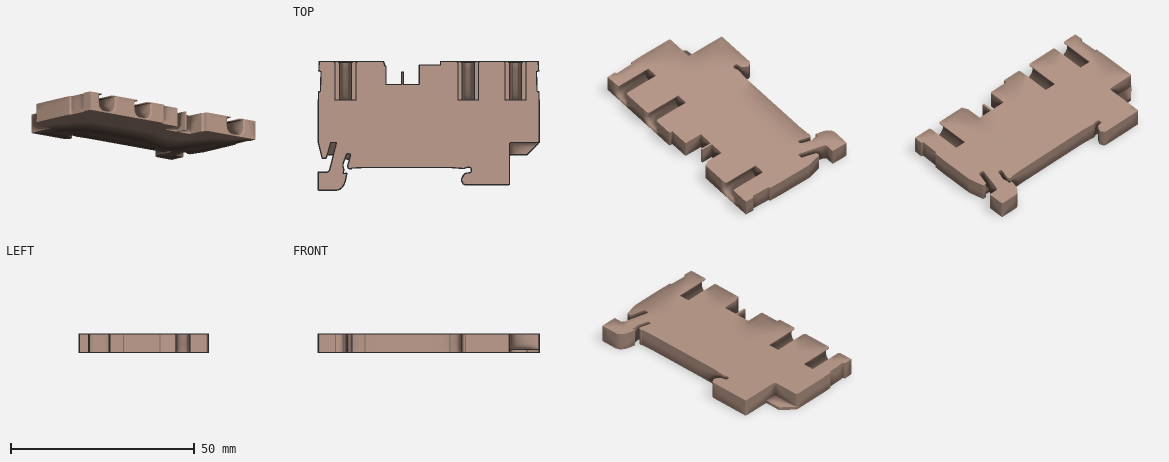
import cadquery as cq
import math

LENGTH = 60.35
HEIGHT = 35.2
THICKNESS = 5.1
SPAN = 3 * LENGTH

RAIL_SEAT = 6.2
SEAT_LIP = 5.85
FOOT_BOTTOM = 1.5
SHOULDER = 13.1
HOOK_TOP = 4.95
SKIRT_BOTTOM = 8.75

BEAD_BOTTOM = 32.6
WAIST_TOP = 32.35
WAIST_BOTTOM = 27.05
SIDE_TOP = 26.8
TAPER_START = 23.2
SIDE_TAPER = 0.1
TOP_INSET = 0.3
BEAD_INSET = 0.2
WAIST_TOP_INSET = 0.8
WAIST_BOTTOM_INSET = 0.6

WINDOW_LEFT = 18.6
WINDOW_RIGHT = 27.5
WINDOW_FLOOR = 28.9
STEP_X = 33.3
STEP_HEIGHT = 34.2
BLADE_LEFT = 22.75
BLADE_WIDTH = 0.55
BLADE_TOP = 32.2

WIRE_ENTRIES = [(7.5, 3.25, 1.8), (40.9, 3.4, 1.6), (53.85, 3.4, 1.6)]
ENTRY_ROUND = 2.0
ENTRY_FLOOR = 0.5
ENTRY_END = 24.6
LIP_THICKNESS = 0.25
MOUTH_FLARE = 0.35
FLARE_ANGLE = 45

FOOT_RIGHT = 52.2
SEAT_RECESS_END = 41.7

WEB_THICKNESS = 0.9
WEB_BOTTOM = 9.65
WEDGE_TIP = 57.0
WEB_OVERLAP = 0.6
SLOT_WEB_LEFT = 2.55
WEB_STEP_X = 6.35
SLOT_WEB_BOTTOM = 8.4
SLOT_WEB_RIGHT = 9.05

SMALL_ROUND = 0.3


def rounded_outline(corners):
    """Closed outline with the given (x, y, radius) corners; a radius of 0 keeps the corner sharp."""
    count = len(corners)
    wire = None
    for i, (x, y, radius) in enumerate(corners):
        before = cq.Vector(*corners[i - 1][:2])
        after = cq.Vector(*corners[(i + 1) % count][:2])
        corner = cq.Vector(x, y)
        to_before = (before - corner).normalized()
        to_after = (after - corner).normalized()
        half_angle = to_before.getAngle(to_after) / 2
        setback = radius / math.tan(half_angle)
        start = corner + to_before * setback
        if wire is None:
            wire = cq.Workplane("XY").moveTo(start.x, start.y)
        else:
            wire = wire.lineTo(start.x, start.y)
        if radius > 0:
            bisector = (to_before + to_after).normalized()
            middle = corner + bisector * (radius / math.sin(half_angle) - radius)
            end = corner + to_after * setback
            wire = wire.threePointArc((middle.x, middle.y), (end.x, end.y))
    return wire.close()


def end_profile():
    """(inset, height) pairs of the latch bead and waist, from the top down."""
    return [
        (TOP_INSET, HEIGHT),
        (BEAD_INSET, BEAD_BOTTOM),
        (WAIST_TOP_INSET, WAIST_TOP),
        (WAIST_BOTTOM_INSET, WAIST_BOTTOM),
    ]


def body():
    """Full-thickness housing, outlined counterclockwise from its top left corner."""
    left_end = [(inset, y, 0) for inset, y in end_profile()]
    right_end = [(LENGTH - inset, y, 0) for inset, y in reversed(end_profile())]

    left_leg = [
        (SIDE_TAPER, SIDE_TOP, 0),
        (0, TAPER_START, 0),
        (0, 13.2, 0),
        (1.1, SKIRT_BOTTOM, 0.25),
        (2.25, SKIRT_BOTTOM, SMALL_ROUND),
        (3.45, SHOULDER, SMALL_ROUND),
        (5.05, SHOULDER, SMALL_ROUND),
    ]
    clip_hook = [
        (2.95, HOOK_TOP, 0.95),
        (0, HOOK_TOP, 0),
        (0, 0, SMALL_ROUND),
        (6.15, 0, 2.35),
        (7.35, 2.1, 3),
        (7.9, 4.7, 0.1),
        (6.9, 4.6, 0.1),
        (7.05, 5.55, 0.2),
        (6.75, 6.95, 1.2),
    ]
    spring_slot = [
        (7.8, 10.1, 0.55),
        (9.0, 9.9, 0.35),
        (7.8, SEAT_LIP, 0.7),
    ]
    rail_seat = [
        (9.05, SEAT_LIP, 0.2),
        (9.25, 6.05, 0),
        (12.8, RAIL_SEAT, 0),
        (35.9, RAIL_SEAT, 0),
        (39.7, 5.9, 0),
    ]
    rail_foot = [
        (40.75, 6.3, 0.3),
        (SEAT_RECESS_END, 6.2, 0.5),
        (SEAT_RECESS_END, 4.9, 0.3),
        (40.0, 4.65, 1.2),
        (38.85, 2.9, 1.1),
        (39.7, FOOT_BOTTOM, 0.9),
        (FOOT_RIGHT, FOOT_BOTTOM, SMALL_ROUND),
        (FOOT_RIGHT, SHOULDER, 0.5),
        (LENGTH, SHOULDER, SMALL_ROUND),
    ]
    right_side = [
        (LENGTH, TAPER_START, 0),
        (LENGTH - SIDE_TAPER, SIDE_TOP, 0),
    ]
    top_edge = [
        (STEP_X, HEIGHT, SMALL_ROUND),
        (STEP_X, STEP_HEIGHT, 0),
        (WINDOW_RIGHT, STEP_HEIGHT, SMALL_ROUND),
        (WINDOW_RIGHT, WINDOW_FLOOR, 0),
        (WINDOW_LEFT, WINDOW_FLOOR, 0),
        (WINDOW_LEFT, 33.75, 0),
        (18.2, 34.05, 0),
        (17.85, HEIGHT, 0),
    ]
    corners = left_end + left_leg + clip_hook + spring_slot + rail_seat
    corners += rail_foot + right_side + right_end + top_edge
    return rounded_outline(corners).extrude(THICKNESS)


def web():
    """Thin layer at the lower face behind the two clip slots and below the right shoulder."""
    top = SHOULDER + WEB_OVERLAP
    slot_web = [
        (SLOT_WEB_LEFT, WEB_BOTTOM, 0),
        (WEB_STEP_X, WEB_BOTTOM, 0),
        (7.35, 8.6, 0),
        (8.2, SLOT_WEB_BOTTOM, 0),
        (SLOT_WEB_RIGHT, SLOT_WEB_BOTTOM, 0),
        (SLOT_WEB_RIGHT, top, 0),
        (SLOT_WEB_LEFT, top, 0),
    ]
    wedge = [
        (FOOT_RIGHT - WEB_OVERLAP, WEB_BOTTOM - WEB_OVERLAP, 0),
        (FOOT_RIGHT, WEB_BOTTOM - WEB_OVERLAP, 0),
        (FOOT_RIGHT, WEB_BOTTOM, SMALL_ROUND),
        (WEDGE_TIP, WEB_BOTTOM, SMALL_ROUND),
        (LENGTH, SHOULDER, 0),
        (LENGTH, top, 0),
        (FOOT_RIGHT - WEB_OVERLAP, top, 0),
    ]
    slot_layer = rounded_outline(slot_web).extrude(WEB_THICKNESS)
    wedge_layer = rounded_outline(wedge).extrude(WEB_THICKNESS)
    return slot_layer.union(wedge_layer)


def blade():
    """Contact blade rising from the window floor."""
    height = BLADE_TOP - WINDOW_FLOOR
    plate = cq.Workplane("XY").box(BLADE_WIDTH, height, THICKNESS, centered=False)
    return plate.translate((BLADE_LEFT, WINDOW_FLOOR, 0))


def flared_channel(section, middle):
    """Run a section inward from the top edge and widen it over the last stretch of the mouth."""
    channel = (
        cq.Workplane("XZ", origin=(middle, HEIGHT, 0))
        .placeSketch(section)
        .extrude(HEIGHT - ENTRY_END)
    )
    mouth = (
        cq.Workplane("XZ", origin=(middle, HEIGHT - MOUTH_FLARE, 0))
        .placeSketch(section)
        .extrude(-MOUTH_FLARE, taper=-FLARE_ANGLE)
    )
    return channel.union(mouth)


def wire_entry(middle, slot_width, floor_width):
    """Cutter for one entry: a round-bottomed chamber below thin lips, and the slot between the lips."""
    lip_underside = THICKNESS - LIP_THICKNESS
    chamber_width = floor_width + 2 * ENTRY_ROUND
    chamber_height = 2 * (lip_underside - ENTRY_FLOOR)
    chamber_section = (
        cq.Sketch()
        .push([(0, lip_underside)])
        .rect(chamber_width, chamber_height)
        .reset()
        .vertices("<Y")
        .fillet(ENTRY_ROUND)
    )
    below_lips = cq.Workplane("XY").rect(SPAN, SPAN).extrude(lip_underside)
    chamber = flared_channel(chamber_section, middle).intersect(below_lips)

    slot_height = 2 * (THICKNESS - ENTRY_FLOOR - ENTRY_ROUND)
    slot_section = cq.Sketch().push([(0, THICKNESS)]).rect(slot_width, slot_height)
    return chamber.union(flared_channel(slot_section, middle))


result = body().union(web()).union(blade())
for middle, slot_width, floor_width in WIRE_ENTRIES:
    result = result.cut(wire_entry(middle, slot_width, floor_width))